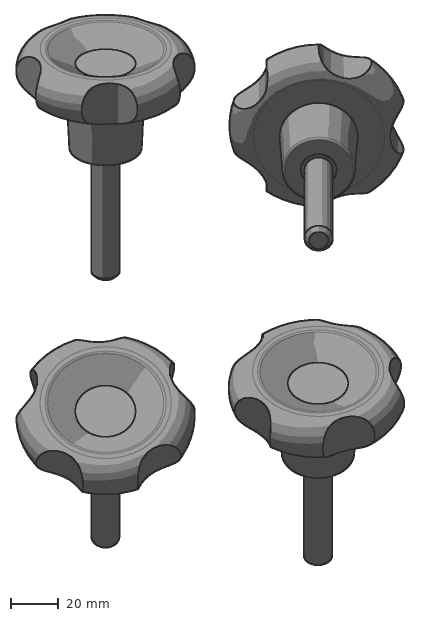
import cadquery as cq
import math

total_height = 108.0
head_radius = 37.5
head_height = 20.0
hub_top_radius = 16.4
hub_bottom_radius = 15.2
hub_bottom_fillet = 1.0
seat_diameter = 15.0
seat_thickness = 0.2
stem_diameter = 12.0
stem_length = 60.0
stem_chamfer = 1.9
dish_floor_radius = 12.6
dish_depth = 7.0
dish_wall_slope = 30.0
dish_rim_fillet = 2.0
grip_count = 5
grip_radius = 15.0
grip_center_distance = 45.0
first_grip_angle = -90.0

head_bottom = total_height - head_height
rim_round = head_height / 2
rim_center_radius = head_radius - rim_round
hub_bottom = stem_length + seat_thickness
dish_floor = total_height - dish_depth
dish_edge_radius = dish_floor_radius + dish_depth / math.tan(math.radians(dish_wall_slope))


def make_head():
    """Disc whose rim is a full half round."""
    return (
        cq.Workplane("XZ")
        .moveTo(0, head_bottom)
        .lineTo(rim_center_radius, head_bottom)
        .threePointArc((head_radius, head_bottom + rim_round), (rim_center_radius, total_height))
        .lineTo(0, total_height)
        .close()
        .revolve(360, (0, 0, 0), (0, 1, 0))
    )


def cut_dish(head):
    """Conical dish in the top face, with a rounded upper edge."""
    dish = (
        cq.Workplane("XZ")
        .moveTo(0, dish_floor)
        .lineTo(dish_floor_radius, dish_floor)
        .lineTo(dish_edge_radius, total_height)
        .lineTo(0, total_height)
        .close()
        .revolve(360, (0, 0, 0), (0, 1, 0))
    )
    dish_edge = cq.selectors.RadiusNthSelector(0)
    return head.cut(dish).faces(">Z").edges(dish_edge).fillet(dish_rim_fillet)


def cut_grips(head):
    """Finger scallops spaced evenly around the rim, right through the head."""
    scallops = (
        cq.Workplane("XY", origin=(0, 0, head_bottom))
        .polarArray(grip_center_distance, first_grip_angle, 360, grip_count)
        .circle(grip_radius)
        .extrude(head_height)
    )
    return head.cut(scallops)


def make_hub():
    """Tapered hub under the head, with a rounded lower edge and a thin stem seat."""
    hub = (
        cq.Workplane("XZ")
        .moveTo(0, hub_bottom)
        .lineTo(hub_bottom_radius, hub_bottom)
        .lineTo(hub_top_radius, head_bottom)
        .lineTo(0, head_bottom)
        .close()
        .revolve(360, (0, 0, 0), (0, 1, 0))
        .faces("<Z")
        .edges()
        .fillet(hub_bottom_fillet)
    )
    seat = (
        cq.Workplane("XY", origin=(0, 0, stem_length))
        .circle(seat_diameter / 2)
        .extrude(seat_thickness)
    )
    return hub.union(seat)


def make_stem():
    """Plain round stem with a chamfered tip."""
    return (
        cq.Workplane("XY")
        .circle(stem_diameter / 2)
        .extrude(stem_length)
        .faces("<Z")
        .chamfer(stem_chamfer)
    )


head = cut_grips(cut_dish(make_head()))
result = head.union(make_hub()).union(make_stem())